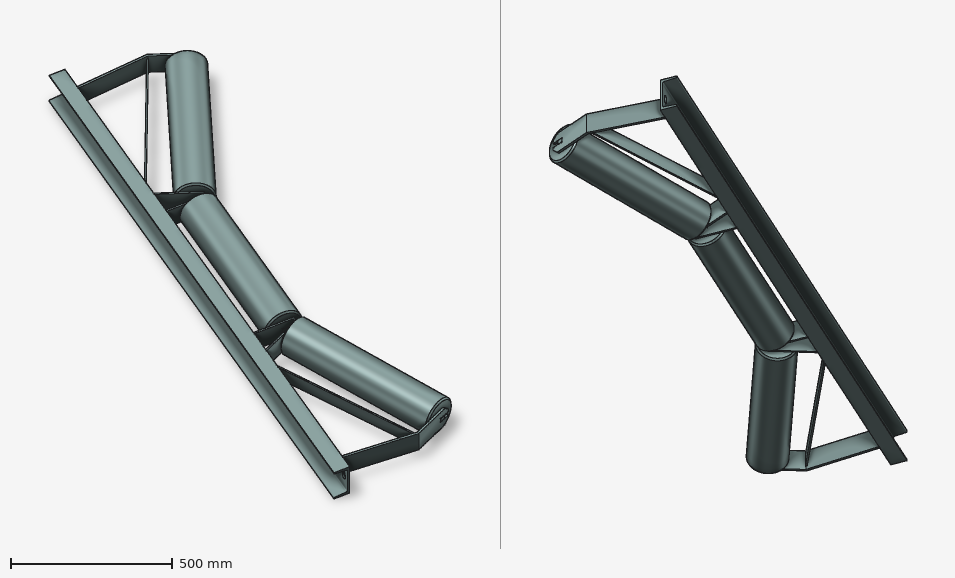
import cadquery as cq
import math


BEAM_LENGTH = 1900.0
BEAM_HEIGHT = 120.0
BEAM_DEPTH = 55.0
WEB_THICKNESS = 7.0
FLANGE_THICKNESS = 9.0
FLANGE_TAPER = 0.08
ROOT_RADIUS = 8.5
TOE_RADIUS = 4.2
MOUNT_SLOT_WIDTH = 18.0
MOUNT_SLOT_HEIGHT = 28.0
MOUNT_SLOT_INSET = 27.0

ROLLER_RADIUS = 66.0
ROLLER_LENGTH = 572.0
ROLLER_CHAMFER = 5.0
SHAFT_RADIUS = 10.0
SHAFT_FLAT_WIDTH = 16.2
CENTRE_AXIS_Y = 118.0
WING_ANGLE = 25.0
WING_CENTRE = (585.0, 249.0)

BRACKET_WIDTH = 75.0
INNER_THICKNESS = 6.0
INNER_LEG_X = 293.0
INNER_TOP_Y = 148.0
INNER_FOOT_X = 378.0
OUTER_THICKNESS = 8.0
OUTER_FOOT_X = 882.0
OUTER_KNEE = (902.0, 265.0)
OUTER_TIP_Y = 400.0
OUTER_TIP_CHAMFER = 19.0
STRUT_WIDTH = 50.0
STRUT_THICKNESS = 5.0
STRUT_FOOT_X = 415.0
TRIM_ALLOWANCE = 19.0

ROLLER_END = ROLLER_LENGTH / 2
WING_SLOPE = math.tan(math.radians(WING_ANGLE))
WING_COS = math.cos(math.radians(WING_ANGLE))
WING_SIN = math.sin(math.radians(WING_ANGLE))


def along_wing_axis(x, y):
    """Distance of a point from the wing roller's middle, along its axis."""
    return (x - WING_CENTRE[0]) * WING_COS + (y - WING_CENTRE[1]) * WING_SIN


INNER_LEG_REACH = INNER_LEG_X + INNER_THICKNESS / 2
WING_INNER_REACH = INNER_THICKNESS / 2 - along_wing_axis(INNER_FOOT_X, 0)
WING_OUTER_REACH = OUTER_THICKNESS / 2 + along_wing_axis(*OUTER_KNEE)


def on_wing_axis(body):
    """Move a body built along X at the origin onto the right wing roller's axis."""
    return body.rotate((0, 0, 0), (0, 0, 1), WING_ANGLE).translate((*WING_CENTRE, 0))


def make_beam():
    """Tapered-flange channel, open toward -Y, with a slot near each end."""
    half_height = BEAM_HEIGHT / 2
    mid_flange = BEAM_DEPTH / 2
    root_z = half_height - FLANGE_THICKNESS - FLANGE_TAPER * (mid_flange - WEB_THICKNESS)
    toe_z = half_height - FLANGE_THICKNESS + FLANGE_TAPER * mid_flange
    profile = [
        (0, -half_height),
        (-BEAM_DEPTH, -half_height),
        (-BEAM_DEPTH, -toe_z),
        (-WEB_THICKNESS, -root_z),
        (-WEB_THICKNESS, root_z),
        (-BEAM_DEPTH, toe_z),
        (-BEAM_DEPTH, half_height),
        (0, half_height),
    ]
    beam = cq.Workplane("YZ").polyline(profile).close().extrude(BEAM_LENGTH / 2, both=True)
    for side in (-1, 1):
        root_edge = cq.NearestToPointSelector((0, -WEB_THICKNESS, side * root_z))
        beam = beam.edges("|X").edges(root_edge).fillet(ROOT_RADIUS)
        toe_edge = cq.NearestToPointSelector((0, -BEAM_DEPTH, side * toe_z))
        beam = beam.edges("|X").edges(toe_edge).fillet(TOE_RADIUS)

    slot_x = BEAM_LENGTH / 2 - MOUNT_SLOT_INSET
    slots = (
        cq.Workplane("XZ")
        .pushPoints([(-slot_x, 0), (slot_x, 0)])
        .slot2D(MOUNT_SLOT_HEIGHT, MOUNT_SLOT_WIDTH, 90)
        .extrude(WEB_THICKNESS)
    )
    return beam.cut(slots)


def make_roller(left_reach, right_reach):
    """Roller along X with a flatted shaft reaching out past both ends."""
    rim = ROLLER_RADIUS - ROLLER_CHAMFER
    shoulder = ROLLER_END - ROLLER_CHAMFER
    barrel = (
        cq.Workplane("XZ")
        .polyline([
            (-ROLLER_END, 0),
            (-ROLLER_END, rim),
            (-shoulder, ROLLER_RADIUS),
            (shoulder, ROLLER_RADIUS),
            (ROLLER_END, rim),
            (ROLLER_END, 0),
        ])
        .close()
        .revolve(360, (0, 0, 0), (1, 0, 0))
    )
    shaft_length = left_reach + right_reach
    shaft = cq.Workplane("YZ", origin=(-left_reach, 0, 0)).circle(SHAFT_RADIUS).extrude(shaft_length)
    flats = cq.Workplane("XY").box(2 * shaft_length, 2 * SHAFT_RADIUS, SHAFT_FLAT_WIDTH)
    return barrel.union(shaft.intersect(flats))


def offset_path(path, distance):
    """Shift an open path sideways (left positive), with mitred corners."""
    headings = [math.atan2(y2 - y1, x2 - x1) for (x1, y1), (x2, y2) in zip(path, path[1:])]
    shifted = []
    for index, (x, y) in enumerate(path):
        before = headings[max(index - 1, 0)]
        after = headings[min(index, len(headings) - 1)]
        middle = (before + after) / 2
        miter = distance / math.cos((after - before) / 2)
        shifted.append((x - miter * math.sin(middle), y + miter * math.cos(middle)))
    return shifted


def make_strip(path, thickness, width):
    """Flat bar bent along a mid-plane path and trimmed to the back of the beam."""
    outline = offset_path(path, thickness / 2) + offset_path(path, -thickness / 2)[::-1]
    strip = cq.Workplane("XY").polyline(outline).close().extrude(width / 2, both=True)
    below_beam_back = cq.Workplane("XY", origin=(0, -BEAM_DEPTH / 2, 0)).box(
        BEAM_LENGTH, BEAM_DEPTH, BEAM_HEIGHT
    )
    return strip.cut(below_beam_back)


def past_foot(foot_x, next_point):
    """Extend a leg straight past its foot on Y = 0 so that it can be trimmed there."""
    next_x, next_y = next_point
    return (foot_x - (next_x - foot_x) / next_y * TRIM_ALLOWANCE, -TRIM_ALLOWANCE)


def shaft_opening(reach, thickness, rise):
    """Cutter at `reach` along X, from the underside of the shaft to `rise` above its axis."""
    middle = (reach, (rise - SHAFT_RADIUS) / 2, 0)
    return cq.Workplane("XY", origin=middle).box(thickness, rise + SHAFT_RADIUS, SHAFT_FLAT_WIDTH)


def make_inner_bracket():
    """Right inner bracket: upright leg, short top strip and a leg square to the wing roller.

    Each leg has a hole for a shaft end.
    """
    top_x = INNER_FOOT_X - INNER_TOP_Y * WING_SLOPE
    path = [
        (INNER_LEG_X, -TRIM_ALLOWANCE),
        (INNER_LEG_X, INNER_TOP_Y),
        (top_x, INNER_TOP_Y),
        past_foot(INNER_FOOT_X, (top_x, INNER_TOP_Y)),
    ]
    bracket = make_strip(path, INNER_THICKNESS, BRACKET_WIDTH)
    upright_hole = shaft_opening(INNER_LEG_X, INNER_THICKNESS, SHAFT_RADIUS)
    upright_hole = upright_hole.translate((0, CENTRE_AXIS_Y, 0))
    wing_leg_place = along_wing_axis(INNER_FOOT_X, 0)
    wing_hole = on_wing_axis(shaft_opening(wing_leg_place, INNER_THICKNESS, SHAFT_RADIUS))
    return bracket.cut(upright_hole).cut(wing_hole)


def make_outer_bracket():
    """Right outer bracket: leaning leg, knee and a slotted tip square to the wing roller."""
    knee_x, knee_y = OUTER_KNEE
    tip_x = knee_x - (OUTER_TIP_Y - knee_y) * WING_SLOPE
    path = [past_foot(OUTER_FOOT_X, OUTER_KNEE), OUTER_KNEE, (tip_x, OUTER_TIP_Y)]
    bracket = make_strip(path, OUTER_THICKNESS, BRACKET_WIDTH)
    tip_face = cq.NearestToPointSelector((tip_x, OUTER_TIP_Y, 0))
    bracket = bracket.faces(tip_face).edges("not |Z").chamfer(OUTER_TIP_CHAMFER)
    slot = shaft_opening(along_wing_axis(*OUTER_KNEE), OUTER_THICKNESS, BRACKET_WIDTH)
    return bracket.cut(on_wing_axis(slot))


def make_strut(bracket):
    """Flat bar from the right outer bracket's knee down to the back of the beam."""
    path = [past_foot(STRUT_FOOT_X, OUTER_KNEE), OUTER_KNEE]
    return make_strip(path, STRUT_THICKNESS, STRUT_WIDTH).cut(bracket)


beam = make_beam()
centre_roller = make_roller(INNER_LEG_REACH, INNER_LEG_REACH).translate((0, CENTRE_AXIS_Y, 0))
wing_roller = on_wing_axis(make_roller(WING_INNER_REACH, WING_OUTER_REACH))
inner_bracket = make_inner_bracket()
outer_bracket = make_outer_bracket()
strut = make_strut(outer_bracket)

bodies = [beam.solids().val(), centre_roller.solids().val()]
for right_body in (wing_roller, inner_bracket, outer_bracket, strut):
    bodies.append(right_body.solids().val())
    bodies.append(right_body.mirror("YZ").solids().val())

result = cq.Compound.makeCompound(bodies)